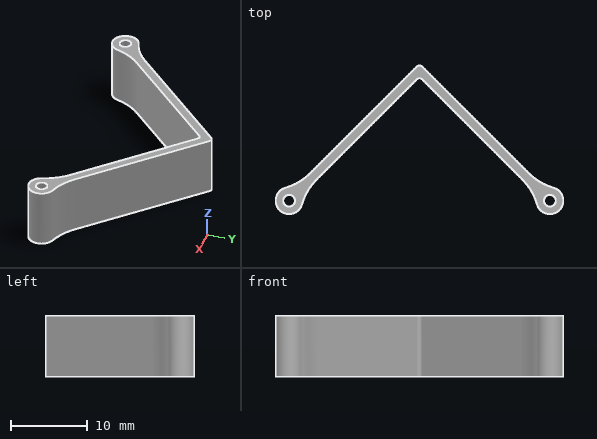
import cadquery as cq
import math

overall_length = 37.5
height = 8.0
eye_radius = 1.75
hole_diameter = 1.5
arm_thickness = 1.2
corner_radius = 0.5
neck_radius = 7.5
arm_angle = 45.0

eye_x = overall_length / 2 - eye_radius
arm_length = eye_x / math.cos(math.radians(arm_angle))
half_thickness = arm_thickness / 2

neck_offset = half_thickness + neck_radius
neck_reach = math.sqrt((eye_radius + neck_radius) ** 2 - neck_offset**2)
eye_touch = eye_radius / (eye_radius + neck_radius)
touch_along = neck_reach * eye_touch
touch_across = neck_offset * eye_touch


def neck_middle():
    """Midpoint of the upper neck arc, with the eye at the origin and the arm along X."""
    half_sweep = math.asin(neck_reach / (eye_radius + neck_radius)) / 2
    along = neck_reach - neck_radius * math.sin(half_sweep)
    across = neck_offset - neck_radius * math.cos(half_sweep)
    return along, across


def left_arm():
    """Arm with its flared neck and eye, running from the left eye to the corner."""
    middle_along, middle_across = neck_middle()
    corner_end = arm_length + half_thickness
    arm = (
        cq.Workplane("XY")
        .moveTo(corner_end, half_thickness)
        .lineTo(neck_reach, half_thickness)
        .threePointArc((middle_along, middle_across), (touch_along, touch_across))
        .threePointArc((-eye_radius, 0), (touch_along, -touch_across))
        .threePointArc((middle_along, -middle_across), (neck_reach, -half_thickness))
        .lineTo(corner_end, -half_thickness)
        .close()
        .extrude(height)
    )
    return arm.rotate((0, 0, 0), (0, 0, 1), arm_angle).translate((-eye_x, 0, 0))


def rounded_corner(body):
    """Round the outer and inner vertical edges where the arms meet."""
    corner_y = eye_x * math.tan(math.radians(arm_angle))
    on_axis = cq.selectors.BoxSelector(
        (-half_thickness / 2, corner_y - arm_thickness, -0.37),
        (half_thickness / 2, corner_y + arm_thickness, height + 0.37),
    )
    return body.edges("|Z").edges(on_axis).fillet(corner_radius)


arm = left_arm()
bracket = rounded_corner(arm.union(arm.mirror("YZ")))

holes = (
    cq.Workplane("XY")
    .pushPoints([(-eye_x, 0), (eye_x, 0)])
    .circle(hole_diameter / 2)
    .extrude(height)
)
result = bracket.cut(holes)